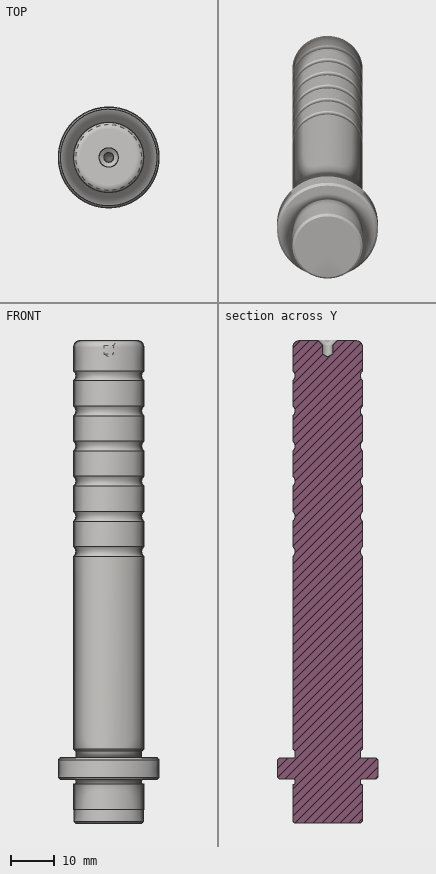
import cadquery as cq
import math

length = 110.0
tip_radius = 16.0 / 2
tip_clearance = 0.02
tip_length = 3.2
shaft_radius = tip_radius + tip_clearance
top_round = 1.5
edge_chamfer = 0.5

flange_radius = 23.0 / 2
flange_bottom = 10.0
flange_thickness = 5.0
flange_top = flange_bottom + flange_thickness
neck_depth = 0.5
neck_radius = shaft_radius - neck_depth
lower_neck_length = 1.05
lower_neck_corner_radius = 0.2
upper_neck_length = 2.0

groove_count = 6
first_groove_drop = 8.0
groove_span = 40.0
groove_pitch = groove_span / (groove_count - 1)
groove_arc_radius = 1.5
groove_depth = 0.5

countersink_radius = 4.4 / 2
countersink_angle = 90.0
pilot_radius = 2.2 / 2
pilot_length = 2.0
pilot_tip_angle = 120.0

quarter_arc_middle = math.sqrt(0.5)


def cone_height(large_radius, small_radius, included_angle):
    """Axial height of a cone frustum with the given included angle."""
    return (large_radius - small_radius) / math.tan(math.radians(included_angle / 2))


def revolve_about_z(profile):
    """Turn a (radius, height) profile about the pin axis, keeping the seam at each groove floor."""
    return profile.close().revolve(360, (0, 0, 0), (0, 1, 0), clean=False)


def add_groove(profile, height):
    """Extend the rising shaft outline through one groove, as two arcs meeting at its floor."""
    half_angle = math.acos(1 - groove_depth / groove_arc_radius)
    arc_centre = shaft_radius - groove_depth + groove_arc_radius

    def arc_point(angle):
        return (
            arc_centre - groove_arc_radius * math.cos(angle),
            height + groove_arc_radius * math.sin(angle),
        )

    return (
        profile.lineTo(*arc_point(-half_angle))
        .threePointArc(arc_point(-half_angle / 2), arc_point(0))
        .threePointArc(arc_point(half_angle / 2), arc_point(half_angle))
    )


def make_pin():
    lower_neck_start = flange_bottom - lower_neck_length
    corner = lower_neck_corner_radius
    corner_inset = corner * (1 - quarter_arc_middle)
    upper_neck_end = flange_top + upper_neck_length
    profile = (
        cq.Workplane("XZ")
        .lineTo(tip_radius - edge_chamfer, 0)
        .lineTo(tip_radius, edge_chamfer)
        .lineTo(tip_radius, tip_length)
        .lineTo(shaft_radius, tip_length)
        .lineTo(shaft_radius, lower_neck_start)
        .lineTo(neck_radius + corner, lower_neck_start)
        .threePointArc(
            (neck_radius + corner_inset, lower_neck_start + corner_inset),
            (neck_radius, lower_neck_start + corner),
        )
        .lineTo(neck_radius, flange_bottom - corner)
        .threePointArc(
            (neck_radius + corner_inset, flange_bottom - corner_inset),
            (neck_radius + corner, flange_bottom),
        )
        .lineTo(flange_radius - edge_chamfer, flange_bottom)
        .lineTo(flange_radius, flange_bottom + edge_chamfer)
        .lineTo(flange_radius, flange_top - edge_chamfer)
        .lineTo(flange_radius - edge_chamfer, flange_top)
        .lineTo(neck_radius, flange_top)
        .lineTo(neck_radius, upper_neck_end - neck_depth)
        .lineTo(shaft_radius, upper_neck_end)
    )
    lowest_groove = length - first_groove_drop - groove_span
    for index in range(groove_count):
        profile = add_groove(profile, lowest_groove + index * groove_pitch)
    round_rise = top_round * quarter_arc_middle
    profile = (
        profile.lineTo(shaft_radius, length - top_round)
        .threePointArc(
            (shaft_radius - top_round + round_rise, length - top_round + round_rise),
            (shaft_radius - top_round, length),
        )
        .lineTo(0, length)
    )
    return revolve_about_z(profile)


def make_centre_hole():
    countersink_bottom = length - cone_height(countersink_radius, pilot_radius, countersink_angle)
    pilot_bottom = countersink_bottom - pilot_length
    tip = pilot_bottom - cone_height(pilot_radius, 0, pilot_tip_angle)
    profile = (
        cq.Workplane("XZ")
        .moveTo(0, length)
        .lineTo(countersink_radius, length)
        .lineTo(pilot_radius, countersink_bottom)
        .lineTo(pilot_radius, pilot_bottom)
        .lineTo(0, tip)
    )
    return revolve_about_z(profile)


result = make_pin().cut(make_centre_hole(), clean=False)